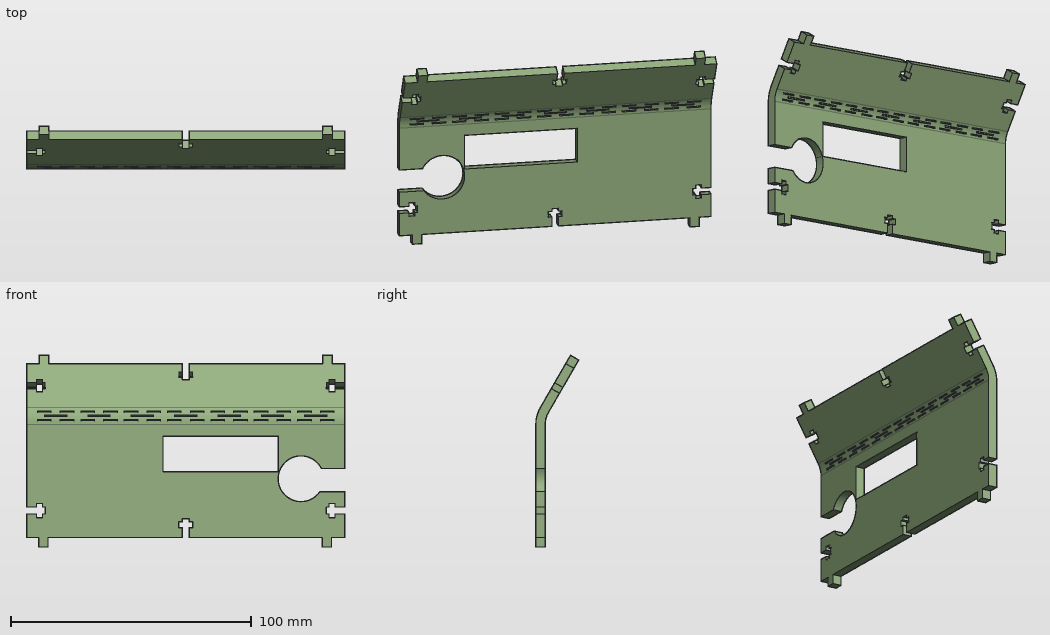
import cadquery as cq
import math

width = 132.1
thickness = 4.0
lower_height = 46.92
upper_height = 21.15
bend_angle = 30.0
outer_radius = 14.0

cut_reach = 2 * thickness

tab_length = 4.0
tab_width = 4.0
tab_spacing = 117.7
lower_tab_shift = -0.25

screw_slot_width = 2.8
screw_slot_depth = 7.7
nut_width = 5.8
nut_thickness = 2.4
nut_setback = 4.1
lower_slot_height = 11.2
upper_slot_height = upper_height / 2

window_left = -9.35
window_right = 38.4
window_bottom = 27.4
window_top = 42.0

opening_diameter = 18.9
opening_x = window_right + opening_diameter / 2
opening_z = 24.4
channel_width = 9.6
channel_z = 23.85

slit_groups = 7
slit_group_pitch = 18.0
paired_slit_length = 5.7
paired_slit_spacing = 9.45
middle_slit_length = 9.3
slit_height = 0.5
slit_row_angle = bend_angle / 4


def bend_plane(angle):
    """Plane touching the bend's outer surface at an angle, with its normal pointing outwards."""
    a = math.radians(angle)
    y = outer_radius * (1 - math.cos(a))
    z = lower_height + outer_radius * math.sin(a)
    return cq.Plane(origin=(0, y, z), xDir=(1, 0, 0), normal=(0, -math.cos(a), math.sin(a)))


lower_plane = cq.Plane.XZ()
upper_plane = bend_plane(bend_angle)


def through_sheet(plane, x, y, length, height):
    """Rectangular cutter through the sheet, centred at (x, y) on a plane of its front face."""
    return cq.Workplane(plane).center(x, y).rect(length, height).extrude(cut_reach, both=True)


def bent_sheet():
    lower = cq.Workplane(lower_plane).center(0, lower_height / 2).rect(width, lower_height).extrude(-thickness)
    upper = cq.Workplane(upper_plane).center(0, upper_height / 2).rect(width, upper_height).extrude(-thickness)
    bend_start = (
        cq.Workplane("XY", origin=(0, 0, lower_height)).center(0, thickness / 2).rect(width, thickness)
    )
    bend = bend_start.revolve(
        bend_angle,
        (0, outer_radius - thickness / 2),
        (-1, outer_radius - thickness / 2),
    )
    return lower.union(bend).union(upper)


def edge_tab(plane, x, edge_y, direction):
    """Tab standing on a horizontal edge; direction is +1 upwards or -1 downwards."""
    centre_y = edge_y + direction * tab_length / 2
    return cq.Workplane(plane).center(x, centre_y).rect(tab_width, tab_length).extrude(-thickness)


def t_slot(plane, x, y, direction):
    """T-slot cutter that starts at edge point (x, y) and runs inwards along a unit direction."""
    dx, dy = direction

    def crossing(distance, along, across):
        size_x = along * abs(dx) + across * abs(dy)
        size_y = along * abs(dy) + across * abs(dx)
        return through_sheet(plane, x + dx * distance, y + dy * distance, size_x, size_y)

    screw_slot = crossing(0, 2 * screw_slot_depth, screw_slot_width)
    nut_pocket = crossing(nut_setback + nut_thickness / 2, nut_thickness, nut_width)
    return screw_slot.union(nut_pocket)


def window():
    return through_sheet(
        lower_plane,
        (window_left + window_right) / 2,
        (window_bottom + window_top) / 2,
        window_right - window_left,
        window_top - window_bottom,
    )


def side_opening():
    hole = (
        cq.Workplane(lower_plane)
        .center(opening_x, opening_z)
        .circle(opening_diameter / 2)
        .extrude(cut_reach, both=True)
    )
    channel_length = width / 2 - opening_x
    channel = through_sheet(
        lower_plane, opening_x + channel_length / 2, channel_z, channel_length, channel_width
    )
    return hole.union(channel)


def slit_row(angle, offsets, length):
    """Row of radial slits across the bend; offsets place the slits within each group."""
    first_group = -slit_group_pitch * (slit_groups - 1) / 2
    centres = [
        (first_group + group * slit_group_pitch + offset, 0)
        for group in range(slit_groups)
        for offset in offsets
    ]
    return (
        cq.Workplane(bend_plane(angle))
        .pushPoints(centres)
        .rect(length, slit_height)
        .extrude(cut_reach, both=True)
    )


result = bent_sheet()

for side in (-1, 1):
    tab_x = side * tab_spacing / 2
    result = result.union(edge_tab(lower_plane, tab_x + lower_tab_shift, 0, -1))
    result = result.union(edge_tab(upper_plane, tab_x, upper_height, 1))

for side in (-1, 1):
    result = result.cut(t_slot(lower_plane, side * width / 2, lower_slot_height, (-side, 0)))
    result = result.cut(t_slot(upper_plane, side * width / 2, upper_slot_height, (-side, 0)))
result = result.cut(t_slot(lower_plane, 0, 0, (0, 1)))
result = result.cut(t_slot(upper_plane, 0, upper_height, (0, -1)))

result = result.cut(window()).cut(side_opening())

pair_offsets = (-paired_slit_spacing / 2, paired_slit_spacing / 2)
for row_angle in (slit_row_angle, bend_angle - slit_row_angle):
    result = result.cut(slit_row(row_angle, pair_offsets, paired_slit_length))
result = result.cut(slit_row(bend_angle / 2, (0,), middle_slit_length))